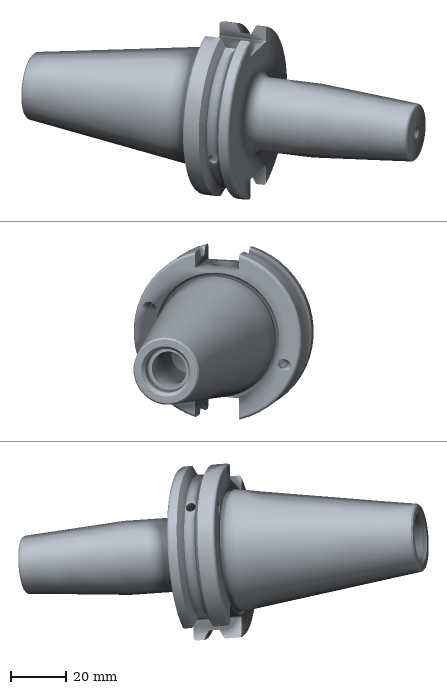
import cadquery as cq
import math

total_length = 148.2
drill_point_angle = 118.0

taper_small_diameter = 24.8
taper_small_radius = taper_small_diameter / 2
taper_large_radius = 22.2
taper_end_x = 67.9
taper_chamfer = 0.6

relief_neck_diameter = 43.7
relief_neck_radius = relief_neck_diameter / 2
relief_neck_start_x = 68.8
relief_floor_radius = 22.7
relief_outer_radius = 23.4
relief_depth = 0.7

flange_diameter = 63.3
flange_radius = flange_diameter / 2
flange_start_x = 69.2
flange_end_x = 87.2
flange_edge_radius = 1.0
groove_floor_radius = 28.3
groove_floor_start_x = 77.5
groove_floor_end_x = 81.4
groove_wall_angle = 30.0

nose_radius = 13.5
nose_fillet = 3.1
nose_taper_start_x = 110.0
nose_tip_radius = 10.5
nose_tip_fillet = 1.2

slot_width = 16.6
upper_slot_floor = 24.8
lower_slot_floor = 22.5
slot_corner_radius = 0.5
dimple_diameter = 9.5
dimple_x = 79.2

mouth_diameter = 18.5
mouth_depth = 1.3
thread_diameter = 16.3
thread_depth = 4.5
pilot_diameter = 13.0
pilot_depth = 31.1
through_diameter = 4.3

coolant_angle = 20.0
inlet_offset = 27.0
inlet_tilt = 38.0
inlet_diameter = 4.0
inlet_depth = 1.8
feed_diameter = 3.3
cross_hole_diameter = 3.7
cross_hole_x = 79.3


def drill_tip(diameter, point_angle):
    """Length of the cone left by a drill point."""
    return diameter / 2 / math.tan(math.radians(point_angle / 2))


def arc_sag(radius):
    """Distance along each axis from a quarter arc's tangent lines to its middle."""
    return radius * (1 - math.cos(math.radians(45)))


def make_body():
    """Turned outline of shank, relief, grooved flange and nose, revolved about X."""
    groove_run = (flange_radius - groove_floor_radius) * math.tan(math.radians(groove_wall_angle))
    relief_floor_x = flange_start_x + relief_depth
    edge_start_radius = flange_radius - flange_edge_radius
    edge_sag = arc_sag(flange_edge_radius)
    fillet_sag = arc_sag(nose_fillet)
    profile = (
        cq.Workplane("XY")
        .lineTo(0, taper_small_radius - taper_chamfer)
        .lineTo(taper_chamfer, taper_small_radius)
        .lineTo(taper_end_x, taper_large_radius)
        .lineTo(relief_neck_start_x, relief_neck_radius)
        .lineTo(relief_floor_x, relief_neck_radius)
        .lineTo(relief_floor_x, relief_floor_radius)
        .lineTo(flange_start_x, relief_outer_radius)
        .lineTo(flange_start_x, edge_start_radius)
        .threePointArc(
            (flange_start_x + edge_sag, flange_radius - edge_sag),
            (flange_start_x + flange_edge_radius, flange_radius),
        )
        .lineTo(groove_floor_start_x - groove_run, flange_radius)
        .lineTo(groove_floor_start_x, groove_floor_radius)
        .lineTo(groove_floor_end_x, groove_floor_radius)
        .lineTo(groove_floor_end_x + groove_run, flange_radius)
        .lineTo(flange_end_x - flange_edge_radius, flange_radius)
        .threePointArc(
            (flange_end_x - edge_sag, flange_radius - edge_sag),
            (flange_end_x, edge_start_radius),
        )
        .lineTo(flange_end_x, nose_radius + nose_fillet)
        .threePointArc(
            (flange_end_x + fillet_sag, nose_radius + fillet_sag),
            (flange_end_x + nose_fillet, nose_radius),
        )
        .lineTo(nose_taper_start_x, nose_radius)
        .lineTo(total_length, nose_tip_radius)
        .lineTo(total_length, 0)
        .close()
    )
    body = profile.revolve(360, (0, 0, 0), (1, 0, 0))
    return body.faces(">X").edges().fillet(nose_tip_fillet)


def make_bore():
    """Countersunk drawbar bore, drilled pilot and the hole through to the nose."""
    pilot_radius = pilot_diameter / 2
    through_radius = through_diameter / 2
    tip_length = drill_tip(pilot_diameter - through_diameter, drill_point_angle)
    profile = (
        cq.Workplane("XY")
        .lineTo(0, mouth_diameter / 2)
        .lineTo(mouth_depth, thread_diameter / 2)
        .lineTo(thread_depth, thread_diameter / 2)
        .lineTo(thread_depth, pilot_radius)
        .lineTo(pilot_depth, pilot_radius)
        .lineTo(pilot_depth + tip_length, through_radius)
        .lineTo(total_length, through_radius)
        .lineTo(total_length, 0)
        .close()
    )
    return profile.revolve(360, (0, 0, 0), (1, 0, 0))


def make_slot(floor_height):
    """Drive slot across the +Z side of the flange, with rounded floor corners."""
    length = flange_end_x - flange_start_x
    return (
        cq.Workplane("XY", origin=(flange_start_x, 0, floor_height))
        .box(length, slot_width, flange_radius, centered=(False, True, False))
        .edges("|X and <Z")
        .fillet(slot_corner_radius)
    )


def make_dimple():
    """Conical dimple in the floor of the upper slot."""
    depth = drill_tip(dimple_diameter, drill_point_angle)
    center = cq.Vector(dimple_x, 0, upper_slot_floor)
    return cq.Workplane(cq.Solid.makeCone(dimple_diameter / 2, 0, depth, center, cq.Vector(0, 0, -1)))


def make_coolant_holes():
    """Two opposite passages: a stepped, tilted inlet meets a radial hole from the groove."""
    tilt = math.radians(inlet_tilt)
    run = cross_hole_x - flange_start_x
    junction_offset = inlet_offset - run * math.tan(tilt)
    entry = cq.Vector(flange_start_x, inlet_offset, 0)
    inward = cq.Vector(math.cos(tilt), -math.sin(tilt), 0)
    start = entry - inward * inlet_diameter
    inlet = cq.Solid.makeCylinder(inlet_diameter / 2, inlet_diameter + inlet_depth, start, inward)
    feed = cq.Solid.makeCylinder(feed_diameter / 2, run / math.cos(tilt), entry, inward)
    cross = cq.Solid.makeCylinder(
        cross_hole_diameter / 2,
        flange_radius - junction_offset,
        cq.Vector(cross_hole_x, junction_offset, 0),
        cq.Vector(0, 1, 0),
    )
    passage = cq.Workplane(inlet.fuse(feed, cross)).rotate((0, 0, 0), (1, 0, 0), coolant_angle)
    return passage.union(passage.rotate((0, 0, 0), (1, 0, 0), 180))


result = (
    make_body()
    .cut(make_bore())
    .cut(make_slot(upper_slot_floor))
    .cut(make_slot(lower_slot_floor).mirror("XY"))
    .cut(make_dimple())
    .cut(make_coolant_holes())
)